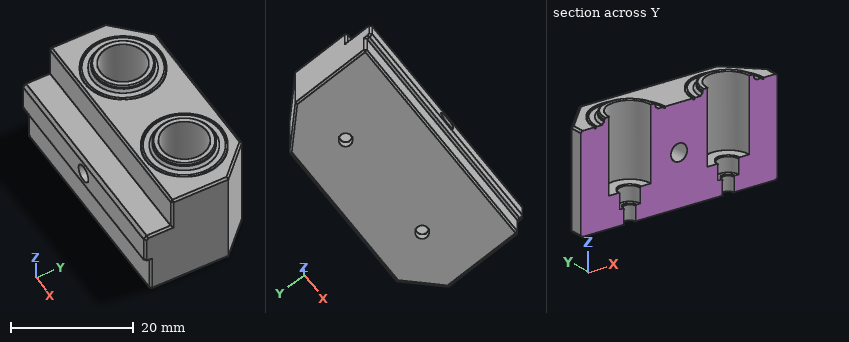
import cadquery as cq

length = 40.0
depth = 21.75
total_height = 20.0
block_height = 18.9
back_y = depth / 2
corner_cut = 6.0
edge_chamfer = 0.35

upper_depth = 16.7
lower_depth = 20.7
upper_front_y = back_y - upper_depth
lower_front_y = back_y - lower_depth
lip_front_y = -depth / 2
lip_top = 12.95
lip_bottom = 7.0
lip_chamfer = 0.55

fitting_spacing = 20.0
fitting_from_back = 8.5
fitting_y = back_y - fitting_from_back
rim_diameter = 10.5
rim_chamfer = 0.25
rim_height = 0.6
cone_foot_diameter = 11.45
rim_root = 0.4
flange_top_diameter = 13.45
flange_diameter = 14.0
recess_diameter = 14.25

bore_diameter = 8.45
bore_floor = 6.0
counterbore_diameter = 4.1
counterbore_floor = 3.0
through_diameter = 2.3
bore_edge_chamfer = 0.2

cross_diameter = 3.2
cross_z = (lip_top + lip_bottom) / 2


def is_vertical(edge):
    """True for a straight edge along Z."""
    box = edge.BoundingBox()
    return box.zlen > box.xlen + box.ylen


def chamfered_block():
    """Stepped profile along X, with cut back corners and chamfered edges."""
    profile = [
        (back_y, 0),
        (back_y, block_height),
        (upper_front_y, block_height),
        (upper_front_y, lip_top),
        (lip_front_y, lip_top),
        (lip_front_y, lip_bottom),
        (lower_front_y, lip_bottom),
        (lower_front_y, 0),
    ]
    block = cq.Workplane("YZ").polyline(profile).close().extrude(length / 2, both=True)
    block = block.edges("|Z and >Y").chamfer(corner_cut)
    block = block.faces("<Y").edges("|X").chamfer(lip_chamfer)
    outer_edges = block.faces("<X or >X or <Z or >Z").edges()
    corner_start_y = back_y - corner_cut - edge_chamfer
    broken_edges = outer_edges.filter(
        lambda edge: not is_vertical(edge) or edge.Center().y < corner_start_y
    )
    return broken_edges.chamfer(edge_chamfer)


def revolved(points, x):
    """Solid of revolution about the vertical axis of the fitting at x; points are (radius, z)."""
    axis_plane = cq.Plane(origin=(x, fitting_y, 0), xDir=(1, 0, 0), normal=(0, -1, 0))
    return cq.Workplane(axis_plane).polyline(points).close().revolve(360, (0, 0), (0, 1))


def raised_rim(x):
    """Chamfered cylindrical rim on a conical foot."""
    rim_radius = rim_diameter / 2
    return revolved(
        [
            (0, block_height - rim_root),
            (cone_foot_diameter / 2, block_height - rim_root),
            (cone_foot_diameter / 2, block_height),
            (rim_radius, total_height - rim_height),
            (rim_radius, total_height - rim_chamfer),
            (rim_radius - rim_chamfer, total_height),
            (0, total_height),
        ],
        x,
    )


def flange_groove(x):
    """Shallow ring groove between the chamfered flange and its recess."""
    groove_depth = (flange_diameter - flange_top_diameter) / 2
    return revolved(
        [
            (flange_top_diameter / 2, block_height),
            (flange_diameter / 2, block_height - groove_depth),
            (recess_diameter / 2, block_height - groove_depth),
            (recess_diameter / 2, block_height),
        ],
        x,
    )


def stepped_bore(x):
    """Bore, counterbore and through hole, the two smaller ones with chamfered mouths."""
    counterbore_radius = counterbore_diameter / 2
    through_radius = through_diameter / 2
    return revolved(
        [
            (0, 0),
            (through_radius, 0),
            (through_radius, counterbore_floor - bore_edge_chamfer),
            (through_radius + bore_edge_chamfer, counterbore_floor),
            (counterbore_radius, counterbore_floor),
            (counterbore_radius, bore_floor - bore_edge_chamfer),
            (counterbore_radius + bore_edge_chamfer, bore_floor),
            (bore_diameter / 2, bore_floor),
            (bore_diameter / 2, total_height),
            (0, total_height),
        ],
        x,
    )


def cross_hole():
    """Hole along Y through the whole block."""
    plane = cq.Workplane("XZ", origin=(0, back_y, cross_z))
    return plane.circle(cross_diameter / 2).extrude(depth)


result = chamfered_block()
for fitting_x in (-fitting_spacing / 2, fitting_spacing / 2):
    result = result.union(raised_rim(fitting_x))
    result = result.cut(flange_groove(fitting_x))
    result = result.cut(stepped_bore(fitting_x))
result = result.cut(cross_hole())